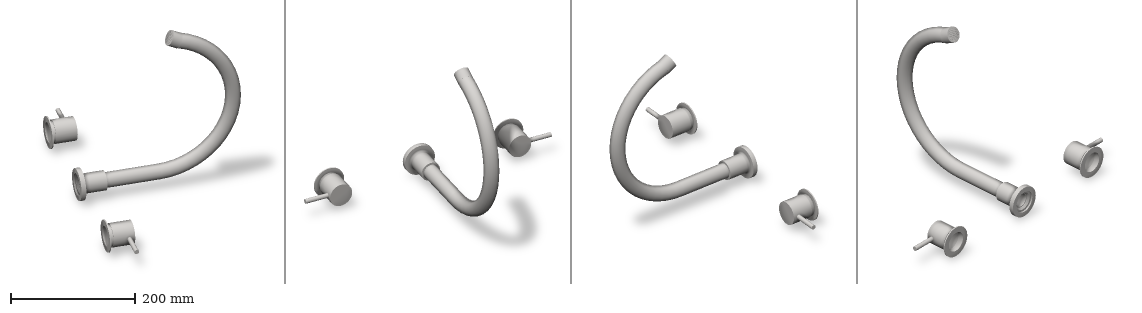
import cadquery as cq
import math

handle_spacing = 323.0
handle_midpoint_x = -1.0
flange_radius = 27.0

base_flange_thickness = 8.0
base_recess_radius = 18.7
base_recess_depth = 3.0
sleeve_radius = 16.5
sleeve_end_y = 46.5
sleeve_fillet = 3.0
sleeve_mouth_radius = 15.3
sleeve_mouth_cone_end_y = 5.5

tube_radius = 12.8
tube_bore_radius = 11.3
tube_start_y = 7.0
straight_end_y = 138.0
bend_radius = 124.3
bend_sweep = math.radians(164.8)

aerator_radius = 13.1
aerator_bore_radius = tube_bore_radius
aerator_length = 17.3
aerator_tilt = math.radians(27.0)
screen_thickness = 3.0
screen_rim_width = 0.3
screen_hole_radius = 0.5
screen_hole_pitch = 1.5

plate_thickness = 2.0
handle_bore_radius = 17.0
neck_radius = 18.7
cup_radius = 20.0
cup_cavity_radius = 18.6
cup_start_y = 8.0
cup_end_y = 44.2
cup_lip_thickness = 2.2
cup_cap_thickness = 3.2

lever_radius = 3.9
lever_y = 34.7
lever_reach = 60.015


def revolved(profile):
    """Revolve a closed outline of (radius, y) points about the Y axis."""
    return cq.Workplane("XY").polyline(profile).close().revolve(360, (0, 0), (0, 1))


def bend_point(angle):
    """(y, z) of the bend's centre line after turning through the angle."""
    y = straight_end_y + bend_radius * math.sin(angle)
    z = bend_radius * (1 - math.cos(angle))
    return (y, z)


def aerator_plane(distance):
    """Plane across the aerator axis, a distance along it from the end of the bend."""
    along_y = -math.cos(aerator_tilt)
    along_z = math.sin(aerator_tilt)
    end_y, end_z = bend_point(bend_sweep)
    origin = (0, end_y + distance * along_y, end_z + distance * along_z)
    return cq.Plane(origin=origin, xDir=(1, 0, 0), normal=(0, along_y, along_z))


def make_base():
    profile = (
        cq.Workplane("XY")
        .moveTo(base_recess_radius, 0)
        .lineTo(flange_radius, 0)
        .lineTo(flange_radius, base_flange_thickness)
        .lineTo(sleeve_radius + sleeve_fillet, base_flange_thickness)
        .radiusArc((sleeve_radius, base_flange_thickness + sleeve_fillet), sleeve_fillet)
        .lineTo(sleeve_radius, sleeve_end_y)
        .lineTo(tube_radius, sleeve_end_y)
        .lineTo(tube_radius, sleeve_mouth_cone_end_y)
        .lineTo(sleeve_mouth_radius, base_recess_depth)
        .lineTo(base_recess_radius, base_recess_depth)
        .close()
    )
    return profile.revolve(360, (0, 0), (0, 1))


def make_tube():
    path = (
        cq.Workplane("YZ")
        .moveTo(tube_start_y, 0)
        .lineTo(straight_end_y, 0)
        .threePointArc(bend_point(bend_sweep / 2), bend_point(bend_sweep))
    )
    section = cq.Workplane("XZ", origin=(0, tube_start_y, 0)).circle(tube_radius).circle(tube_bore_radius)
    tube = section.sweep(path)
    aerator_space = cq.Workplane(aerator_plane(0)).circle(2 * tube_radius).extrude(aerator_length)
    return tube.cut(aerator_space)


def make_aerator():
    ring = cq.Workplane(aerator_plane(0)).circle(aerator_radius).circle(aerator_bore_radius)
    return ring.extrude(aerator_length)


def screen_hole_spots():
    """Square grid of hole centres that keeps a narrow rim around the screen."""
    limit = aerator_bore_radius - screen_rim_width - screen_hole_radius
    steps = int(limit / screen_hole_pitch)
    grid = [i * screen_hole_pitch for i in range(-steps, steps + 1)]
    return [(u, v) for u in grid for v in grid if math.hypot(u, v) < limit]


def make_screen():
    back = cq.Workplane(aerator_plane(aerator_length - screen_thickness))
    disc = back.circle(aerator_bore_radius)
    return disc.pushPoints(screen_hole_spots()).circle(screen_hole_radius).extrude(screen_thickness)


def make_wall_plate():
    return revolved([
        (handle_bore_radius, 0),
        (flange_radius, 0),
        (flange_radius, plate_thickness),
        (handle_bore_radius, plate_thickness),
    ])


def make_handle():
    return revolved([
        (handle_bore_radius, plate_thickness),
        (neck_radius, plate_thickness),
        (neck_radius, cup_start_y),
        (cup_radius, cup_start_y),
        (cup_radius, cup_end_y),
        (0, cup_end_y),
        (0, cup_end_y - cup_cap_thickness),
        (cup_cavity_radius, cup_end_y - cup_cap_thickness),
        (cup_cavity_radius, cup_start_y + cup_lip_thickness),
        (handle_bore_radius, cup_start_y + cup_lip_thickness),
    ])


def make_lever(side):
    rod = cq.Workplane("YZ", origin=(0, lever_y, 0)).circle(lever_radius).extrude(side * lever_reach)
    cup_space = cq.Workplane("XZ").circle(cup_radius).extrude(-cup_end_y)
    return rod.cut(cup_space)


bodies = [make_base(), make_tube(), make_aerator(), make_screen()]
for side in (-1, 1):
    handle_place = (handle_midpoint_x + side * handle_spacing / 2, 0, 0)
    for part in (make_wall_plate(), make_handle(), make_lever(side)):
        bodies.append(part.translate(handle_place))

result = cq.Compound.makeCompound([body.val() for body in bodies])